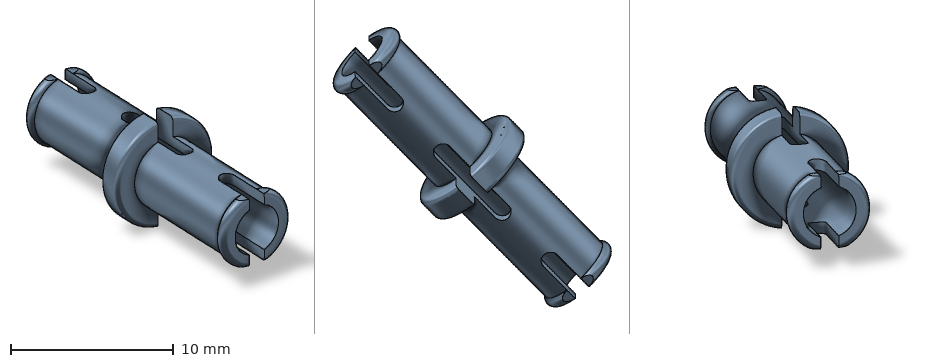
import cadquery as cq
import math

length = 20.05
bore_diameter = 3.35
tube_diameter = 4.8
lip_round_radius = 0.42
lip_flat_step = 0.006
lip_diameter = 5.25
flange_diameter = 7.48
flange_width = 1.66
flange_fillet = 0.3
slot_width = 1.15
end_slot_depth = 3.49
middle_slot_length = 6.5

lip_width = 2 * lip_round_radius
lip_ring_radius = lip_diameter / 2 - lip_round_radius
slot_edge_height = math.sqrt((tube_diameter / 2) ** 2 - (slot_width / 2) ** 2)
lip_flat_height = slot_edge_height + lip_flat_step


def cylinder_x(diameter, width):
    """Cylinder along X, centred on the origin."""
    return cq.Workplane("YZ").circle(diameter / 2).extrude(width / 2, both=True)


def end_lip(side):
    """Rounded snap lip at one end, with flats above and below."""
    outer_x = side * length / 2
    middle_x = side * (length / 2 - lip_round_radius)
    inner_x = side * (length / 2 - lip_width)
    lip = (
        cq.Workplane("XY")
        .moveTo(outer_x, 0)
        .lineTo(outer_x, lip_ring_radius)
        .threePointArc((middle_x, lip_diameter / 2), (inner_x, lip_ring_radius))
        .lineTo(inner_x, 0)
        .close()
        .revolve(360, (0, 0, 0), (1, 0, 0))
    )
    flats = cq.Workplane("XY").box(2 * length, lip_diameter, 2 * lip_flat_height)
    return lip.intersect(flats)


def vertical_slot(center_x, slot_length):
    """Round-ended slot cutter through the whole pin along Z."""
    return (
        cq.Workplane("XY")
        .center(center_x, 0)
        .slot2D(slot_length, slot_width)
        .extrude(flange_diameter, both=True)
    )


blank = cylinder_x(tube_diameter, length - 2 * lip_round_radius)
flange = cylinder_x(flange_diameter, flange_width).edges().fillet(flange_fillet)
body = blank.union(flange)
for side in (-1, 1):
    body = body.union(end_lip(side))

body = body.cut(cylinder_x(bore_diameter, length))
body = body.cut(vertical_slot(0, middle_slot_length))
for side in (-1, 1):
    body = body.cut(vertical_slot(side * length / 2, 2 * end_slot_depth))

result = body